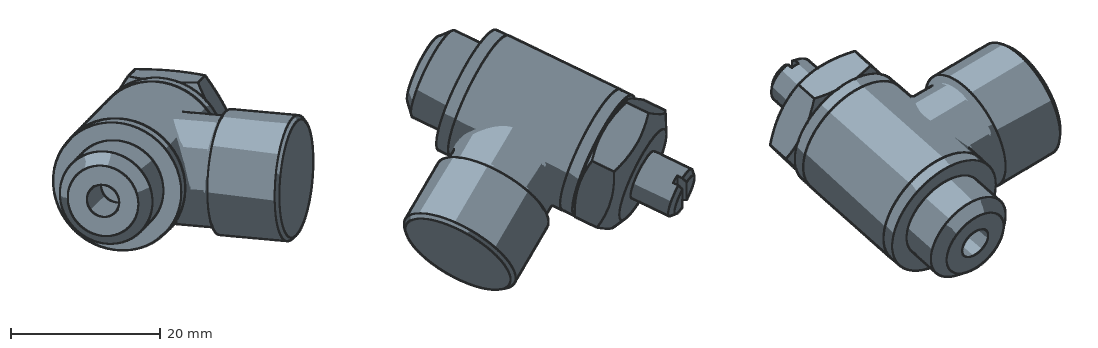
import cadquery as cq
import math

plug_radius = 6.48
plug_tip_radius = 4.95
plug_chamfer_length = 1.45
plug_length = 6.6
bore_diameter = 4.5
bore_depth = plug_length

body_radius = 9.0
body_end = 27.22
ring_width = 1.8
ring_radius = 8.95

hex_corner_radius = 9.8
hex_end = 33.2
hex_front_radius = 8.35
hex_back_radius = 6.75
hex_chamfer_angle = 30

stud_radius = 3.5
stud_end = 39.5
stud_chamfer = 0.65
slot_width = 1.2
slot_depth = 1.42

branch_y = 16.85
neck_radius = 7.55
neck_fillet = 0.47
collar_radius = 8.5
collar_start = 11.55
collar_end = 22.0
collar_cone_angle = 60
collar_root_fillet = 0.4
collar_chamfer = 0.5


def cylinder_y(radius, start, end):
    """Solid cylinder on the main axis."""
    return cq.Workplane("XZ", origin=(0, start, 0)).circle(radius).extrude(start - end)


def make_branch():
    """Neck that flares through a filleted cone into the collar."""
    cone_length = (collar_radius - neck_radius) / math.tan(math.radians(collar_cone_angle))
    branch = (
        cq.Workplane("XY")
        .moveTo(0, branch_y)
        .lineTo(0, branch_y + neck_radius)
        .lineTo(collar_start, branch_y + neck_radius)
        .lineTo(collar_start + cone_length, branch_y + collar_radius)
        .lineTo(collar_end - collar_chamfer, branch_y + collar_radius)
        .lineTo(collar_end, branch_y + collar_radius - collar_chamfer)
        .lineTo(collar_end, branch_y)
        .close()
        .revolve(360, (0, branch_y, 0), (1, branch_y, 0))
    )
    root = cq.selectors.BoxSelector(
        (collar_start - cone_length / 2, branch_y - collar_radius, -collar_radius),
        (collar_start + cone_length / 2, branch_y + collar_radius, collar_radius),
    )
    return branch.edges(root).edges("%CIRCLE").fillet(collar_root_fillet)


def make_body():
    """Barrel filleted to the branch, with a slightly slimmer ring at each end."""
    barrel = cylinder_y(body_radius, plug_length + ring_width, body_end - ring_width)
    joined = barrel.union(make_branch())
    seam = cq.selectors.BoxSelector(
        (0.4, branch_y - neck_radius - 0.4, -body_radius),
        (body_radius - 0.4, branch_y + neck_radius + 0.4, body_radius),
    )
    joined = joined.edges(seam).edges("not |Y").fillet(neck_fillet)
    front_ring = cylinder_y(ring_radius, plug_length, plug_length + ring_width)
    back_ring = cylinder_y(ring_radius, body_end - ring_width, body_end)
    return joined.union(front_ring).union(back_ring)


def make_plug():
    """Plug with a tapered tip."""
    taper = plug_radius - plug_tip_radius
    return (
        cylinder_y(plug_radius, 0, plug_length)
        .faces("<Y").chamfer(plug_chamfer_length, taper)
    )


def make_hex():
    """Hexagon with corners on X, its corners turned off conically at both ends."""
    prism = (
        cq.Workplane("XZ", origin=(0, body_end, 0))
        .polygon(6, 2 * hex_corner_radius)
        .extrude(body_end - hex_end)
    )
    slope = math.tan(math.radians(hex_chamfer_angle))
    front_rise = (hex_corner_radius - hex_front_radius) * slope
    back_rise = (hex_corner_radius - hex_back_radius) * slope
    envelope = (
        cq.Workplane("XY")
        .moveTo(0, body_end)
        .lineTo(hex_front_radius, body_end)
        .lineTo(hex_corner_radius, body_end + front_rise)
        .lineTo(hex_corner_radius, hex_end - back_rise)
        .lineTo(hex_back_radius, hex_end)
        .lineTo(0, hex_end)
        .close()
        .revolve(360, (0, 0, 0), (0, 1, 0))
    )
    return prism.intersect(envelope)


def make_stud():
    """Adjusting stud with a screwdriver slot across its end."""
    stud = cylinder_y(stud_radius, hex_end, stud_end).faces(">Y").chamfer(stud_chamfer)
    slot = (
        cq.Workplane("XY")
        .box(slot_width, slot_depth, 2 * stud_radius)
        .translate((0, stud_end - slot_depth / 2, 0))
    )
    return stud.cut(slot)


bore = cylinder_y(bore_diameter / 2, 0, bore_depth)

result = (
    make_body()
    .union(make_plug())
    .union(make_hex())
    .union(make_stud())
    .cut(bore)
)